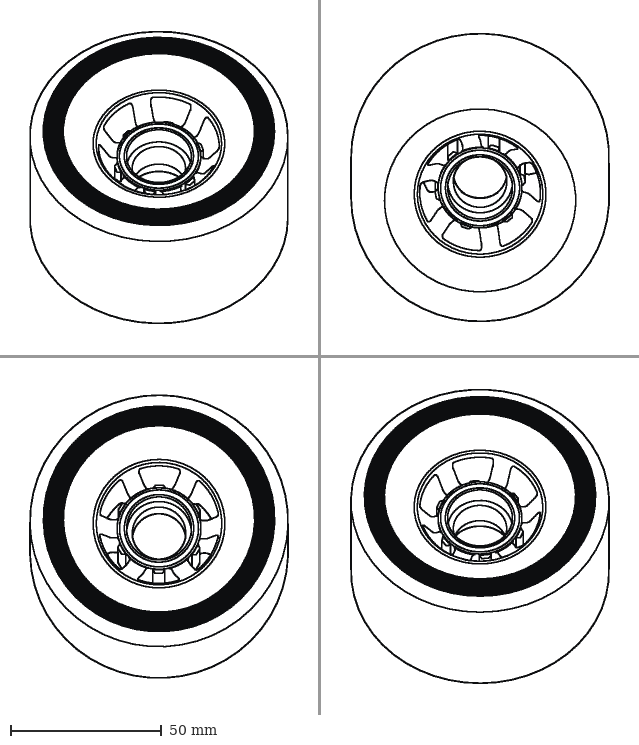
import cadquery as cq
import math

tyre_radius = 42.8
half_height = 26.0
shoulder_height = 23.1
shoulder_bulge = 0.45
grip_inner_radius = 31.7
groove_width = 0.35
groove_depth = groove_width / 2
groove_count = 9
grip_outer_radius = grip_inner_radius + (2 * groove_count + 1) * groove_width
bottom_corner_z = -23.3
bottom_crest_z = -26.23
bottom_crest_radius = 34.0
dish_bulge = 1.0

rim_radius = 21.85
rim_inner_radius = 20.8
rim_waist_radius = 20.0
rim_half_height = 19.0
hub_radius = 13.9
hub_half_height = 12.0
hub_step_radius = 13.1
hub_step_height = 0.1
counterbore_radius = 11.5
counterbore_depth = 0.1
bearing_radius = 10.75
bearing_depth = 7.0
bore_radius = 8.85
window_count = 6
spoke_width = 6.2
window_fillet = 0.8
spoke_valley_radius = 1.3
spoke_root_radius = 15.0
spoke_root_z = 10.8
hub_slope = 20
spoke_slope = 61
lug_tip_radius = 15.0
lug_tip_width = 2.5
lug_base_width = 4.0
lug_tip_fillet = 0.4


def revolve_profile(sketch):
    return sketch.close().revolve(360, (0, 0, 0), (0, 1, 0))


def bulged_point(start, end, bulge):
    """Point beside the middle of a chord, off to the left of its direction."""
    dx = end[0] - start[0]
    dy = end[1] - start[1]
    length = math.hypot(dx, dy)
    return ((start[0] + end[0]) / 2 - dy / length * bulge, (start[1] + end[1]) / 2 + dx / length * bulge)


def make_tyre():
    side_top = (tyre_radius, shoulder_height)
    grip_outer = (grip_outer_radius, half_height)
    grip_inner = (grip_inner_radius, half_height)
    rim_top = (rim_radius, rim_half_height)
    rim_bottom = (rim_radius, -rim_half_height)
    crest = (bottom_crest_radius, bottom_crest_z)
    lip_inner = (grip_inner_radius, -half_height)
    profile = (
        cq.Workplane("XZ")
        .moveTo(tyre_radius, bottom_corner_z)
        .lineTo(*side_top)
        .threePointArc(bulged_point(side_top, grip_outer, -shoulder_bulge), grip_outer)
    )
    for i in range(groove_count):
        groove_outer = grip_outer_radius - (2 * i + 1) * groove_width
        groove_inner = groove_outer - groove_width
        profile = (
            profile.lineTo(groove_outer, half_height)
            .lineTo((groove_outer + groove_inner) / 2, half_height - groove_depth)
            .lineTo(groove_inner, half_height)
        )
    profile = (
        profile.lineTo(*grip_inner)
        .threePointArc(bulged_point(grip_inner, rim_top, dish_bulge), rim_top)
        .lineTo(*rim_bottom)
        .threePointArc(bulged_point(rim_bottom, lip_inner, dish_bulge), lip_inner)
        .lineTo(*crest)
        .ellipseArc(tyre_radius - bottom_crest_radius, bottom_corner_z - bottom_crest_z,
                    270, 360, startAtCurrent=True)
    )
    return revolve_profile(profile)


def make_core_half():
    """Upper half of the core, without windows, standing on the middle plane."""
    step_z = hub_half_height - hub_step_height
    counterbore_z = hub_half_height - counterbore_depth
    shoulder_z = hub_half_height - bearing_depth
    rise = math.radians(spoke_slope)
    fall = math.radians(hub_slope)
    valley_r = spoke_root_radius + spoke_valley_radius * math.sin(fall)
    valley_z = spoke_root_z + spoke_valley_radius * math.cos(fall)
    valley_bottom = (valley_r, valley_z - spoke_valley_radius)
    valley_end = (
        valley_r + spoke_valley_radius * math.sin(rise),
        valley_z - spoke_valley_radius * math.cos(rise),
    )
    profile = (
        cq.Workplane("XZ")
        .moveTo(bore_radius, 0)
        .lineTo(bore_radius, shoulder_z)
        .lineTo(bearing_radius, shoulder_z)
        .lineTo(bearing_radius, counterbore_z)
        .lineTo(counterbore_radius, counterbore_z)
        .lineTo(counterbore_radius, hub_half_height)
        .lineTo(hub_step_radius, hub_half_height)
        .lineTo(hub_step_radius, step_z)
        .lineTo(hub_radius, step_z)
        .lineTo(hub_radius, spoke_root_z + (spoke_root_radius - hub_radius) * math.tan(fall))
        .lineTo(spoke_root_radius, spoke_root_z)
        .threePointArc(valley_bottom, valley_end)
        .lineTo(rim_inner_radius, rim_half_height)
        .lineTo(rim_radius, rim_half_height)
        .lineTo(rim_radius, 0)
    )
    return revolve_profile(profile)


def make_windows():
    """The through openings between the spokes, each notched by a lug on the hub."""
    full_height = 2 * rim_half_height
    base = cq.Workplane("XY", origin=(0, 0, -rim_half_height))
    windows = base.circle(rim_waist_radius).circle(hub_radius).extrude(full_height)
    for i in range(window_count):
        spoke_angle = (i + 0.5) * 360 / window_count
        spoke = base.center(rim_radius / 2, 0).rect(rim_radius, spoke_width).extrude(full_height)
        windows = windows.cut(spoke.rotate((0, 0, 0), (0, 0, 1), spoke_angle))
    windows = windows.edges("|Z").fillet(window_fillet)
    lug = (
        base.polyline([
            (0, -lug_base_width / 2),
            (hub_radius, -lug_base_width / 2),
            (lug_tip_radius, -lug_tip_width / 2),
            (lug_tip_radius, lug_tip_width / 2),
            (hub_radius, lug_base_width / 2),
            (0, lug_base_width / 2),
        ]).close().extrude(full_height)
        .edges("|Z").edges(">X").fillet(lug_tip_fillet)
    )
    for i in range(window_count):
        windows = windows.cut(lug.rotate((0, 0, 0), (0, 0, 1), i * 360 / window_count))
    return windows


def make_core():
    half = make_core_half()
    return half.union(half.mirror("XY")).clean().cut(make_windows())


tyre = make_tyre()
core = make_core()
result = cq.Compound.makeCompound([tyre.val(), core.val()])